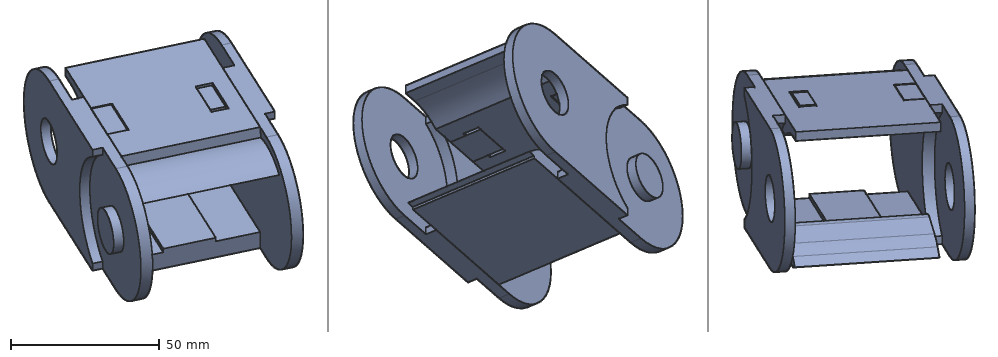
import cadquery as cq
import math

link_length = 105.9
link_width = 65.6
link_height = 50.0

end_radius = link_height / 2
pivot_x = link_length / 2 - end_radius

outer_layer = 3.6
inner_layer = 4.2
pivot_diameter = 16.0
swing_radius = 25.5
layer_end_x = 15.0
outer_face_y = link_width / 2
step_y = outer_face_y - outer_layer
inner_face_y = step_y - inner_layer
channel_width = 2 * inner_face_y

cover_thickness = 7.3
cover_lip_thickness = 3.3
cover_left_x = -33.3
cover_right_x = 21.9
cover_top = end_radius
cover_bottom = cover_top - cover_thickness
cover_lip_bottom = cover_top - cover_lip_thickness

tongue_radius = 21.8
tongue_start_x = 22.6

tab_width = 15.9
tab_length = 7.3
tab_recess = 0.2
notch_width = 16.3
notch_length = 7.6

slot_width = 15.9
slot_near_y = 12.6
slot_far_y = 18.7
hook_width = 13.2
hook_head_y = 18.1
hook_arm_thickness = cover_thickness / 2

floor_z = -18.3
bar_bottom = -end_radius
bar_right_x = cover_right_x
lip_heel = (-28.8, bar_bottom)
lip_underside = (-29.1, -24.2)
lip_tip = (-31.7, -23.8)
lip_arc_start = (-28.3, -21.1)
lip_arc_mid = (-25.8, -19.5)
lip_arc_end = (-23.0, -18.2)
ridge_start = (-14.2, -15.1)
ridge_mid = (-10.5, -15.5)
ridge_end = (-7.8, floor_z)
pad_near_y = -9.9
pad_far_y = 9.0
pad_start_x = -10.1
pad_top = -16.8


def block(x_range, y_range, z_range):
    """Box spanning the given (low, high) ranges."""
    (x0, x1), (y0, y1), (z0, z1) = x_range, y_range, z_range
    return cq.Workplane("XY").box(x1 - x0, y1 - y0, z1 - z0, centered=False).translate((x0, y0, z0))


def plate_layer(direction, y_range):
    """Layer rounded at one end and hollowed at the other; direction is the side of the rounded end."""
    y0, y1 = y_range
    round_x = direction * pivot_x
    cut_x = -direction * layer_end_x
    profile = cq.Workplane("XZ", origin=(0, y1, 0))
    layer = (
        profile.moveTo(cut_x, end_radius)
        .lineTo(round_x, end_radius)
        .threePointArc((round_x + direction * end_radius, 0), (round_x, -end_radius))
        .lineTo(cut_x, -end_radius)
        .close()
        .extrude(y1 - y0)
    )
    relief = profile.center(-round_x, 0).circle(swing_radius).extrude(y1 - y0)
    return layer.cut(relief)


def pivot_disc(x):
    """Disc through the outer layer of the rear plate, used as its pin and to cut its hole."""
    return (
        cq.Workplane("XZ", origin=(x, outer_face_y, 0)).circle(pivot_diameter / 2).extrude(outer_layer)
    )


def plain_side_plate():
    """Rear side plate without its cover fastening."""
    outer = plate_layer(-1, (step_y, outer_face_y)).cut(pivot_disc(-pivot_x))
    inner = plate_layer(1, (inner_face_y, step_y))
    return outer.union(inner).union(pivot_disc(pivot_x))


def make_front_plate():
    """Plate on the -Y side, with the tab that lies in the cover's notch."""
    tab = block(
        (-tab_width / 2, tab_width / 2),
        (-inner_face_y, -inner_face_y + tab_length),
        (cover_bottom, cover_top - tab_recess),
    )
    return plain_side_plate().mirror("XZ").union(tab)


def snap_hook():
    """Arm and upright head of the rear plate's hook."""
    hook_x = (-hook_width / 2, hook_width / 2)
    arm = block(hook_x, (slot_near_y, inner_face_y), (cover_bottom, cover_bottom + hook_arm_thickness))
    head = block(hook_x, (slot_near_y, hook_head_y), (cover_bottom, cover_top))
    return arm.union(head)


def make_rear_plate():
    """Plate on the +Y side, with the snap hook that rises through the cover's slot."""
    return plain_side_plate().union(snap_hook())


def make_cover():
    """Flat cover with a lowered, curved tongue at its right end."""
    tongue_start_z = math.sqrt(tongue_radius**2 - (tongue_start_x - pivot_x) ** 2)
    tongue_tip_x = pivot_x + math.sqrt(tongue_radius**2 - cover_bottom**2)
    lip_root_x = -pivot_x + math.sqrt(cover_lip_bottom**2 - cover_bottom**2)
    lip_mid_angle = math.acos(cover_bottom / cover_lip_bottom) / 2
    lip_mid_point = (
        -pivot_x + cover_lip_bottom * math.sin(lip_mid_angle),
        cover_lip_bottom * math.cos(lip_mid_angle),
    )
    cover = (
        cq.Workplane("XZ", origin=(0, inner_face_y, 0))
        .moveTo(cover_left_x, cover_lip_bottom)
        .lineTo(cover_left_x, cover_top)
        .lineTo(cover_right_x, cover_top)
        .lineTo(tongue_start_x, tongue_start_z)
        .threePointArc((pivot_x, tongue_radius), (tongue_tip_x, cover_bottom))
        .lineTo(lip_root_x, cover_bottom)
        .threePointArc(lip_mid_point, (-pivot_x, cover_lip_bottom))
        .close()
        .extrude(channel_width)
    )
    notch = block(
        (-notch_width / 2, notch_width / 2),
        (-inner_face_y, -inner_face_y + notch_length),
        (cover_bottom, cover_top),
    )
    slot = block(
        (-slot_width / 2, slot_width / 2),
        (slot_near_y, slot_far_y),
        (cover_bottom, cover_top),
    )
    return cover.cut(notch).cut(slot).cut(snap_hook())


def make_crossbar():
    """Bottom bar with a rising lip at its left end and a raised pad along its floor."""
    bar = (
        cq.Workplane("XZ", origin=(0, inner_face_y, 0))
        .moveTo(bar_right_x, bar_bottom)
        .lineTo(*lip_heel)
        .lineTo(*lip_underside)
        .lineTo(*lip_tip)
        .lineTo(*lip_arc_start)
        .threePointArc(lip_arc_mid, lip_arc_end)
        .lineTo(*ridge_start)
        .threePointArc(ridge_mid, ridge_end)
        .lineTo(bar_right_x, floor_z)
        .close()
        .extrude(channel_width)
    )
    pad = block(
        (pad_start_x, bar_right_x),
        (pad_near_y, pad_far_y),
        (floor_z, pad_top),
    )
    return bar.union(pad)


front_plate = make_front_plate()
rear_plate = make_rear_plate()
cover = make_cover()
crossbar = make_crossbar()

result = cq.Compound.makeCompound(
    [front_plate.val(), rear_plate.val(), cover.val(), crossbar.val()]
)